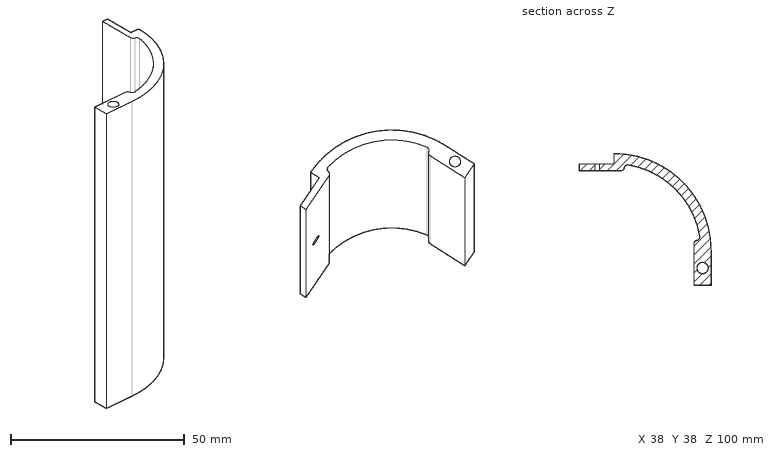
import cadquery as cq
import math

length = 100.0
outer_radius = 28.0
inner_radius = 25.0
land_offset = 23.0
mount_length = 10.0
flange_outer = 25.0
blend_radius = 1.0
land_end = 2.0

hole_diameter = 3.2
flange_hole_x = -4.8
flange_hole_z = 48.5
pad_hole_x = 25.5
pad_hole_y = -5.0


def mirrored(point):
    """Reflect a point across the 45-degree line of the shell."""
    return (point[1], point[0])


def on_circle(center, radius, angle):
    return (center[0] + radius * math.cos(angle), center[1] + radius * math.sin(angle))


convex_center = (land_end, land_offset + blend_radius)
convex_distance = math.hypot(*convex_center)
convex_angle = math.atan2(convex_center[1], convex_center[0])
concave_distance = inner_radius - blend_radius
center_gap = 2 * blend_radius
angle_between = math.acos(
    (convex_distance**2 + concave_distance**2 - center_gap**2)
    / (2 * convex_distance * concave_distance)
)
concave_angle = convex_angle - angle_between
concave_center = on_circle((0, 0), concave_distance, concave_angle)
joint_angle = math.atan2(
    concave_center[1] - convex_center[1], concave_center[0] - convex_center[0]
)

step_start = (land_end, land_offset)
convex_middle = on_circle(convex_center, blend_radius, (joint_angle - math.pi / 2) / 2)
step_joint = on_circle(convex_center, blend_radius, joint_angle)
concave_middle = on_circle(
    concave_center, blend_radius, (joint_angle + math.pi + concave_angle) / 2
)
step_end = on_circle((0, 0), inner_radius, concave_angle)


def make_shell():
    quarter = math.pi / 4
    return (
        cq.Workplane("XY")
        .moveTo(-mount_length, land_offset)
        .lineTo(*step_start)
        .threePointArc(convex_middle, step_joint)
        .threePointArc(concave_middle, step_end)
        .threePointArc(on_circle((0, 0), inner_radius, quarter), mirrored(step_end))
        .threePointArc(mirrored(concave_middle), mirrored(step_joint))
        .threePointArc(mirrored(convex_middle), mirrored(step_start))
        .lineTo(land_offset, -mount_length)
        .lineTo(outer_radius, -mount_length)
        .lineTo(outer_radius, 0)
        .threePointArc(on_circle((0, 0), outer_radius, quarter), (0, outer_radius))
        .lineTo(0, flange_outer)
        .lineTo(-mount_length, flange_outer)
        .close()
        .extrude(length)
    )


def make_flange_hole():
    """Cross hole through the thin flange, along Y."""
    return (
        cq.Workplane("XZ")
        .center(flange_hole_x, flange_hole_z)
        .circle(hole_diameter / 2)
        .extrude(-outer_radius)
    )


def make_pad_hole():
    """Hole along the full length of the thick land."""
    return (
        cq.Workplane("XY")
        .center(pad_hole_x, pad_hole_y)
        .circle(hole_diameter / 2)
        .extrude(length)
    )


result = make_shell().cut(make_flange_hole()).cut(make_pad_hole())